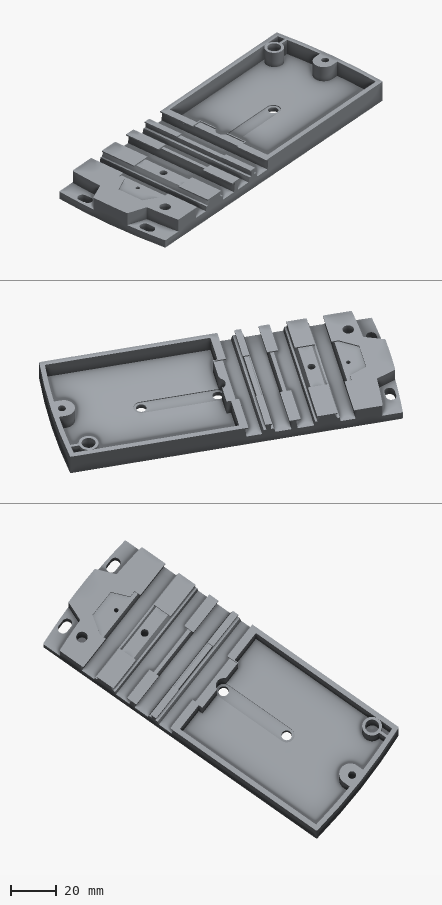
import cadquery as cq
import math

WIDTH = 60.0
LENGTH = 151.8
HEIGHT = 10.0
END_BULGE = 1.5
CORNER_RADIUS = 0.5
HALF_WIDTH = WIDTH / 2
HALF_LENGTH = LENGTH / 2
END_RADIUS = (HALF_WIDTH**2 + END_BULGE**2) / (2 * END_BULGE)

WALL = 2.3
TRAY_FLOOR = 2.6
TRAY_FRONT = -1.7
TRAY_HALF_WIDTH = HALF_WIDTH - WALL

BOSS_RADIUS = 4.9
BOSS_Y = 70.3
BOSS_HOLE_Y = 71.2
SCREW_HOLE = 3.5

CUP_X, CUP_Y = -23.4, 64.7
CUP_OUTER = 8.7
CUP_BORE = 6.0
RIB_WIDTH = 1.2

SLOT_WIDTH = 6.8
SLOT_DEPTH = 0.5
SLOT_HOLE = 4.5
SLOT_HOLES_Y = (1.44, 35.7)

CHANNEL_FLOOR = 4.7
STEP_Z = 7.0
LIP_THICKNESS = 0.6
LIP_Z = HEIGHT - LIP_THICKNESS

TRAY_WALL_FLANK = (-4.4, -4.0, -5.3)
MIDDLE_RAIL_BACK = (-24.6, -25.0, -23.7)
MIDDLE_RAIL_FRONT = (-27.3, -26.7, -28.7)
END_BLOCK_FLANK = (-53.3, -53.9, -52.5)

NARROW_RAIL_Y = -14.4
NARROW_RAIL = (3.0, 2.3, 1.0, 1.0, 1.5)
WIDE_RAIL_Y = -40.7
WIDE_RAIL = (5.9, 5.5, 4.5, 3.2, 4.5)

RECESS_LEFT, RECESS_RIGHT = -11.7, 13.5
RECESS_BACK = -0.2
RECESS_RIM = 0.5
RECESS_SHOULDER_Y = -55.7
RECESS_FRONT = -63.8
RECESS_FRONT_LEFT, RECESS_FRONT_RIGHT = -5.2, 8.2
RECESS_SHOULDER_LEFT = -8.5

RAIL_HOLE_X = 1.0
PIN_HOLE_Y = -57.0
PIN_HOLE = 2.0
ROUND_POCKET_X, ROUND_POCKET_Y = 19.1, -61.3
ROUND_POCKET = 5.0
ROUND_POCKET_FLOOR = TRAY_FLOOR

LEDGE_Z = 3.8
LEDGE_LENGTH = 9.0
LEDGE_BACK_X = 13.2
LEDGE_FRONT_X = 9.5
LEDGE_CORNER_RADIUS = 0.6
MOUNT_SLOT_X, MOUNT_SLOT_Y = 17.6, -71.7
MOUNT_SLOT_LENGTH = 7.5
MOUNT_SLOT_WIDTH = 4.5


def bulge_at(x):
    """Distance the end arc has fallen back from its crown at x."""
    return END_RADIUS - math.sqrt(END_RADIUS**2 - x**2)


def cylinder(x, y, diameter, bottom, top):
    return cq.Workplane("XY", origin=(x, y, bottom)).circle(diameter / 2).extrude(top - bottom)


def end_profile(offset):
    """Outline of the body with both bulged ends drawn in by an offset."""
    crown = HALF_LENGTH - offset
    shoulder = crown - END_BULGE
    return (
        cq.Workplane("XY")
        .moveTo(-HALF_WIDTH, -shoulder)
        .threePointArc((0, -crown), (HALF_WIDTH, -shoulder))
        .lineTo(HALF_WIDTH, shoulder)
        .threePointArc((0, crown), (-HALF_WIDTH, shoulder))
        .close()
    )


def box(x0, x1, y0, y1, z0, z1):
    return cq.Workplane("XY").box(x1 - x0, y1 - y0, z1 - z0, centered=False).translate((x0, y0, z0))


def make_tray():
    inside = box(-TRAY_HALF_WIDTH, TRAY_HALF_WIDTH, TRAY_FRONT, HALF_LENGTH, TRAY_FLOOR, HEIGHT)
    tray = inside.intersect(end_profile(WALL).extrude(HEIGHT))
    boss = cylinder(0, BOSS_Y, 2 * BOSS_RADIUS, 0, HEIGHT)
    boss = boss.union(box(-BOSS_RADIUS, BOSS_RADIUS, BOSS_Y, HALF_LENGTH, 0, HEIGHT))
    cup = cylinder(CUP_X, CUP_Y, CUP_OUTER, 0, HEIGHT)
    cup = cup.union(box(CUP_X - RIB_WIDTH / 2, CUP_X + RIB_WIDTH / 2, CUP_Y, HALF_LENGTH, 0, HEIGHT))
    cup = cup.cut(cylinder(CUP_X, CUP_Y, CUP_BORE, TRAY_FLOOR, HEIGHT))
    thick_wall = box(
        RECESS_LEFT - RECESS_RIM, RECESS_RIGHT + RECESS_RIM,
        TRAY_FRONT, RECESS_BACK + RECESS_RIM, 0, HEIGHT,
    )
    return tray.cut(boss).cut(cup).cut(thick_wall)


def make_channel(back, front):
    """Channel between two rail flanks, each flank a list of (y, z) from the floor upwards."""
    outline = back[::-1] + front
    return cq.Workplane("YZ").polyline(outline).close().extrude(HALF_WIDTH, both=True)


def plain_flank(floor_y, neck_y, lip_y):
    return [(floor_y, CHANNEL_FLOOR), (neck_y, LIP_Z), (lip_y, LIP_Z), (lip_y, HEIGHT)]


def stepped_flank(center, side, foot, step, waist, neck, lip):
    """Flank with a stepped foot, given as half widths about the rail center."""
    levels = [
        (foot, CHANNEL_FLOOR), (step, STEP_Z), (waist, STEP_Z),
        (neck, LIP_Z), (lip, LIP_Z), (lip, HEIGHT),
    ]
    return [(center + side * half, z) for half, z in levels]


def make_channels():
    gaps = [
        (plain_flank(*TRAY_WALL_FLANK), stepped_flank(NARROW_RAIL_Y, 1, *NARROW_RAIL)),
        (stepped_flank(NARROW_RAIL_Y, -1, *NARROW_RAIL), plain_flank(*MIDDLE_RAIL_BACK)),
        (plain_flank(*MIDDLE_RAIL_FRONT), stepped_flank(WIDE_RAIL_Y, 1, *WIDE_RAIL)),
        (stepped_flank(WIDE_RAIL_Y, -1, *WIDE_RAIL), plain_flank(*END_BLOCK_FLANK)),
    ]
    channels = cq.Workplane("XY")
    for back, front in gaps:
        channels = channels.union(make_channel(back, front))
    return channels


def make_recess():
    outline = [
        (RECESS_LEFT, RECESS_BACK), (RECESS_RIGHT, RECESS_BACK), (RECESS_RIGHT, RECESS_SHOULDER_Y),
        (RECESS_FRONT_RIGHT, RECESS_FRONT), (RECESS_FRONT_LEFT, RECESS_FRONT),
        (RECESS_SHOULDER_LEFT, RECESS_SHOULDER_Y), (RECESS_LEFT, RECESS_SHOULDER_Y),
    ]
    return cq.Workplane("XY", origin=(0, 0, LIP_Z)).polyline(outline).close().extrude(LIP_THICKNESS)


def make_ledges():
    front = -HALF_LENGTH
    block = (
        cq.Workplane("XY", origin=(0, 0, LEDGE_Z))
        .polyline([
            (LEDGE_FRONT_X, front), (LEDGE_BACK_X, front + LEDGE_LENGTH + bulge_at(LEDGE_BACK_X)),
            (LEDGE_BACK_X, 0), (HALF_WIDTH, 0), (HALF_WIDTH, front),
        ])
        .close()
        .extrude(HEIGHT - LEDGE_Z)
    )
    ledge = block.cut(end_profile(LEDGE_LENGTH).extrude(HEIGHT))
    return ledge.union(ledge.mirror("YZ"))


def make_holes():
    holes = cylinder(0, BOSS_HOLE_Y, SCREW_HOLE, 0, HEIGHT)
    holes = holes.union(cylinder(RAIL_HOLE_X, WIDE_RAIL_Y, SCREW_HOLE, 0, HEIGHT))
    holes = holes.union(cylinder(0, PIN_HOLE_Y, PIN_HOLE, 0, HEIGHT))
    holes = holes.union(cylinder(ROUND_POCKET_X, ROUND_POCKET_Y, ROUND_POCKET, ROUND_POCKET_FLOOR, HEIGHT))
    for y in SLOT_HOLES_Y:
        holes = holes.union(cylinder(0, y, SLOT_HOLE, 0, HEIGHT))
    mounts = (
        cq.Workplane("XY")
        .pushPoints([(-MOUNT_SLOT_X, MOUNT_SLOT_Y), (MOUNT_SLOT_X, MOUNT_SLOT_Y)])
        .slot2D(MOUNT_SLOT_LENGTH, MOUNT_SLOT_WIDTH)
        .extrude(HEIGHT)
    )
    return holes.union(mounts)


def make_sunk_slot():
    near, far = SLOT_HOLES_Y
    return (
        cq.Workplane("XY", origin=(0, (near + far) / 2, TRAY_FLOOR - SLOT_DEPTH))
        .slot2D(far - near + SLOT_WIDTH, SLOT_WIDTH, 90)
        .extrude(HEIGHT)
    )


body = end_profile(0).extrude(HEIGHT).edges("|Z").fillet(CORNER_RADIUS)
body = body.cut(make_ledges()).edges("|Z").edges(">Z").fillet(LEDGE_CORNER_RADIUS)
result = (
    body.cut(make_tray())
    .cut(make_sunk_slot())
    .cut(make_channels())
    .cut(make_recess())
    .cut(make_holes())
)